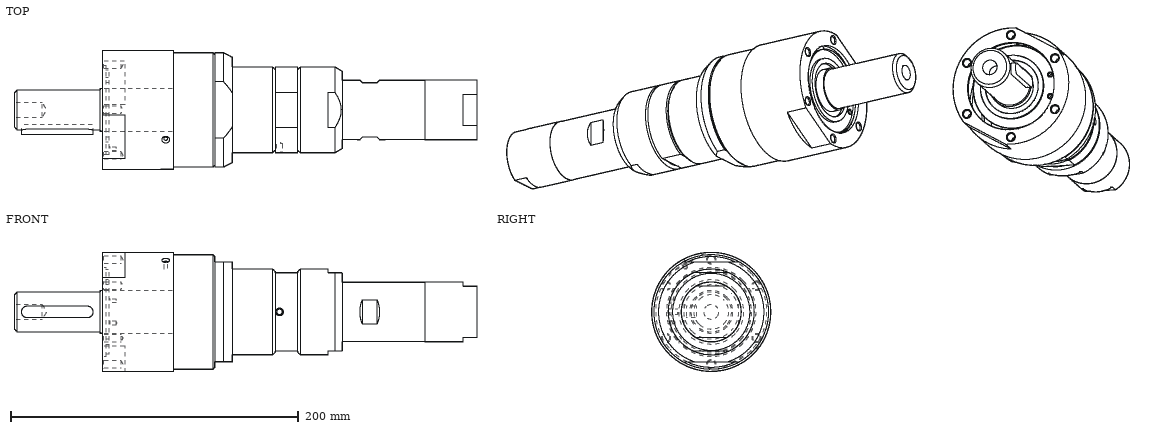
import cadquery as cq
import math

LENGTH = 322.0

SHAFT_D = 28.0
SHAFT_CHAMFER = 2.0
COLLAR_D = 30.0
COLLAR_X = 59.5
CENTRE_HOLE_D = 10.3
CENTRE_HOLE_DEPTH = 19.3

DRILL_POINT_ANGLE = 118.0

KEY_X = 4.8
KEY_LENGTH = 50.0
KEY_WIDTH = 8.0
KEY_HEIGHT = 7.0
KEY_SEAT_DEPTH = 4.0

FLANGE_D = 83.0
FLANGE_X = 61.2
FRONT_D = 80.0
FRONT_X = 110.8
FRONT_EDGE_CHAMFER = 1.3
FRONT_NUT_X = 139.5
FRONT_NUT_CONE_X = 145.5
FRONT_NUT_END_D = 73.5
MIDDLE_D = 60.0
MIDDLE_X = 151.7
MIDDLE_EDGE_CHAMFER = 2.0
MIDDLE_NUT_X = 181.5
MIDDLE_NUT_END_X = 197.0
REAR_NUT_X = 218.3
REAR_NUT_CONE_X = 223.0
REAR_NUT_END_D = 53.8
TAIL_D = 41.5
TAIL_X = 228.3
TAIL_END_D = 42.0
TAIL_END_X = 285.5

FLANGE_FLATS = 75.5
FLANGE_FLATS_LENGTH = 15.8
FLANGE_FLATS_TURN = 30.0
FRONT_NUT_FLATS = 69.5
MIDDLE_FLATS = 54.7
TAIL_FLATS = 38.0
TAIL_FLATS_X = 242.0
TAIL_FLATS_LENGTH = 10.3
END_FLATS = 35.7
END_FLATS_LENGTH = 9.5

RECESS_D = 62.0
RECESS_DEPTH = 2.5
POCKET_D = 59.0
POCKET_DEPTH = 2.0
BOSS_D = 45.0
BOSS_HEIGHT = 2.0
SEAL_SEAT_D = 38.0
BOLT_HOLE_D = 5.0
BOLT_SINK_D = 6.5
BOLT_CIRCLE_D = 72.8
BOLT_COUNT = 6
BOLT_HOLE_DEPTH = 13.0
SPANNER_HOLE_D = 2.5
SPANNER_SINK_D = 4.0
SPANNER_HOLE_Y = -27.0
SPANNER_HOLE_PITCH = 15.5
SPANNER_HOLE_DEPTH = 4.8

SIDE_SINK_D = 5.5
FLANGE_SIDE_HOLE_D = 2.5
FLANGE_SIDE_HOLE_X = 105.3
FLANGE_SIDE_HOLE_TURN = 60.0
NUT_SIDE_HOLE_D = 4.0
NUT_SIDE_HOLE_X = 184.5
SIDE_HOLE_DEPTH = 6.5

POCKET_OFFSET = (RECESS_D - POCKET_D) / 2
POCKET_FLOOR_X = FLANGE_X + RECESS_DEPTH + POCKET_DEPTH
SPINDLE_END_X = FRONT_X


def disc(x, diameter, length, y=0.0, z=0.0):
    """A cylinder along +X that begins at x."""
    return cq.Workplane("YZ", origin=(x, y, z)).circle(diameter / 2).extrude(length)


def drilled(x, diameter, depth, y=0.0, z=0.0):
    """A drilled hole along +X from x, with a conical bottom."""
    point = diameter / 2 / math.tan(math.radians(DRILL_POINT_ANGLE / 2))
    cone = cq.Solid.makeCone(diameter / 2, 0, point, cq.Vector(x + depth, y, z), cq.Vector(1, 0, 0))
    return disc(x, diameter, depth, y, z).union(cq.Workplane(cone))


def flats(x, length, across, body_d, turn=0.0):
    """The material outside two flats, whose normals are +-Z turned about X."""
    size = body_d + 3.2
    depth = (size - across) / 2
    slab = cq.Workplane("XY").box(length, size, depth).translate((x + length / 2, 0, (across + depth) / 2))
    both = slab.union(slab.mirror("XY"))
    return both.rotate((0, 0, 0), (1, 0, 0), turn)


def side_hole(hole, surface_d, turn):
    """Turns a hole drilled along +X at the origin to point at the axis, mouth on the surface.

    Turn 0 puts the mouth on the -Y side and 90 on the +Z side.
    """
    facing_y = hole.rotate((0, 0, 0), (0, 0, 1), 90).translate((0, -surface_d / 2, 0))
    return facing_y.rotate((0, 0, 0), (1, 0, 0), -turn)


def make_key():
    """Round-ended key on the -Y side of the shaft."""
    seat_y = -(SHAFT_D / 2 - KEY_SEAT_DEPTH)
    return (
        cq.Workplane("XZ", origin=(KEY_X + KEY_LENGTH / 2, seat_y, 0))
        .slot2D(KEY_LENGTH, KEY_WIDTH)
        .extrude(KEY_HEIGHT)
    )


def make_spindle(key):
    """Chamfered shaft with a centre hole, a keyway and a collar that fills the housing bore."""
    shaft = disc(0, SHAFT_D, COLLAR_X).faces("<X").chamfer(SHAFT_CHAMFER)
    collar = disc(COLLAR_X, COLLAR_D, SPINDLE_END_X - COLLAR_X)
    centre_hole = drilled(0, CENTRE_HOLE_D, CENTRE_HOLE_DEPTH)
    return shaft.union(collar).cut(centre_hole).cut(key)


def housing_blank():
    """Turned outside shape of the housing, revolved about X."""
    outline = [
        (FLANGE_X, 0),
        (FLANGE_X, FLANGE_D / 2),
        (FRONT_X, FLANGE_D / 2),
        (FRONT_X, FRONT_D / 2),
        (FRONT_NUT_X - FRONT_EDGE_CHAMFER, FRONT_D / 2),
        (FRONT_NUT_X, FRONT_D / 2 - FRONT_EDGE_CHAMFER),
        (FRONT_NUT_X, FRONT_D / 2),
        (FRONT_NUT_CONE_X, FRONT_D / 2),
        (MIDDLE_X, FRONT_NUT_END_D / 2),
        (MIDDLE_X, MIDDLE_D / 2),
        (MIDDLE_NUT_X - MIDDLE_EDGE_CHAMFER, MIDDLE_D / 2),
        (MIDDLE_NUT_X, MIDDLE_D / 2 - MIDDLE_EDGE_CHAMFER),
        (MIDDLE_NUT_X, MIDDLE_D / 2),
        (MIDDLE_NUT_END_X, MIDDLE_D / 2),
        (MIDDLE_NUT_END_X, MIDDLE_D / 2 - MIDDLE_EDGE_CHAMFER),
        (MIDDLE_NUT_END_X + MIDDLE_EDGE_CHAMFER, MIDDLE_D / 2),
        (REAR_NUT_CONE_X, MIDDLE_D / 2),
        (TAIL_X, REAR_NUT_END_D / 2),
        (TAIL_X, TAIL_D / 2),
        (TAIL_END_X, TAIL_D / 2),
        (TAIL_END_X, TAIL_END_D / 2),
        (LENGTH, TAIL_END_D / 2),
        (LENGTH, 0),
    ]
    return cq.Workplane("XY").polyline(outline).close().revolve(360, (0, 0, 0), (1, 0, 0))


def wrench_flats():
    """Everything cut away by the pairs of flats on the nuts, the flange and the tail."""
    return [
        flats(FLANGE_X, FLANGE_FLATS_LENGTH, FLANGE_FLATS, FLANGE_D, FLANGE_FLATS_TURN),
        flats(FRONT_NUT_X, MIDDLE_X - FRONT_NUT_X, FRONT_NUT_FLATS, FRONT_D),
        flats(MIDDLE_NUT_X, MIDDLE_NUT_END_X - MIDDLE_NUT_X, MIDDLE_FLATS, MIDDLE_D),
        flats(REAR_NUT_X, TAIL_X - REAR_NUT_X, MIDDLE_FLATS, MIDDLE_D),
        flats(LENGTH - END_FLATS_LENGTH, END_FLATS_LENGTH, END_FLATS, TAIL_END_D),
    ]


def tail_notch():
    """Notch with 45 degree ends on the +Y side of the tail."""
    floor = TAIL_FLATS / 2
    rise = TAIL_D - floor
    end_x = TAIL_FLATS_X + TAIL_FLATS_LENGTH
    outline = [
        (TAIL_FLATS_X, floor),
        (end_x, floor),
        (end_x + rise, floor + rise),
        (TAIL_FLATS_X - rise, floor + rise),
    ]
    return cq.Workplane("XY").polyline(outline).close().extrude(TAIL_D / 2, both=True)


def front_recess():
    """Round recess, a deeper eccentric pocket in it, and a ring-shaped boss on the pocket floor."""
    recess = disc(FLANGE_X, RECESS_D, RECESS_DEPTH)
    pocket = disc(FLANGE_X, POCKET_D, POCKET_FLOOR_X - FLANGE_X, y=-POCKET_OFFSET)
    boss = disc(POCKET_FLOOR_X - BOSS_HEIGHT, BOSS_D, BOSS_HEIGHT)
    seal_seat = disc(FLANGE_X, SEAL_SEAT_D, POCKET_FLOOR_X - FLANGE_X)
    return recess.union(pocket).cut(boss).union(seal_seat)


def sunk_hole(x, y, z, diameter, depth, sink_d):
    """A drilled hole along +X with a 45 degree countersink at its mouth."""
    sink = cq.Solid.makeCone(sink_d / 2, 0, sink_d / 2, cq.Vector(x, y, z), cq.Vector(1, 0, 0))
    return drilled(x, diameter, depth, y, z).union(cq.Workplane(sink))


def face_holes():
    """Blind bolt holes in the flange face and two spanner holes in the pocket floor."""
    holes = []
    for index in range(BOLT_COUNT):
        angle = math.radians(90 + index * 360 / BOLT_COUNT)
        y = BOLT_CIRCLE_D / 2 * math.cos(angle)
        z = BOLT_CIRCLE_D / 2 * math.sin(angle)
        holes.append(sunk_hole(FLANGE_X, y, z, BOLT_HOLE_D, BOLT_HOLE_DEPTH, BOLT_SINK_D))
    for side in (-1, 1):
        z = side * SPANNER_HOLE_PITCH / 2
        holes.append(
            sunk_hole(POCKET_FLOOR_X, SPANNER_HOLE_Y, z, SPANNER_HOLE_D, SPANNER_HOLE_DEPTH, SPANNER_SINK_D)
        )
    return holes


def side_holes():
    """Countersunk holes towards the axis, one in the flange and one in the middle nut."""
    flange_hole = sunk_hole(0, 0, 0, FLANGE_SIDE_HOLE_D, SIDE_HOLE_DEPTH, SIDE_SINK_D)
    nut_hole = sunk_hole(0, 0, 0, NUT_SIDE_HOLE_D, SIDE_HOLE_DEPTH, SIDE_SINK_D)
    return [
        side_hole(flange_hole, FLANGE_D, FLANGE_SIDE_HOLE_TURN).translate((FLANGE_SIDE_HOLE_X, 0, 0)),
        side_hole(nut_hole, MIDDLE_D, 0).translate((NUT_SIDE_HOLE_X, 0, 0)),
    ]


def make_housing():
    housing = housing_blank()
    for cutter in wrench_flats():
        housing = housing.cut(cutter)
    notch = tail_notch()
    housing = housing.cut(notch).cut(notch.mirror("XZ"))
    housing = housing.cut(front_recess())
    for hole in face_holes():
        housing = housing.cut(hole)
    for hole in side_holes():
        housing = housing.cut(hole)
    return housing.cut(disc(FLANGE_X, COLLAR_D, SPINDLE_END_X - FLANGE_X))


key = make_key()
spindle = make_spindle(key)
housing = make_housing()

result = cq.Compound.makeCompound([housing.val(), spindle.val(), key.val()])